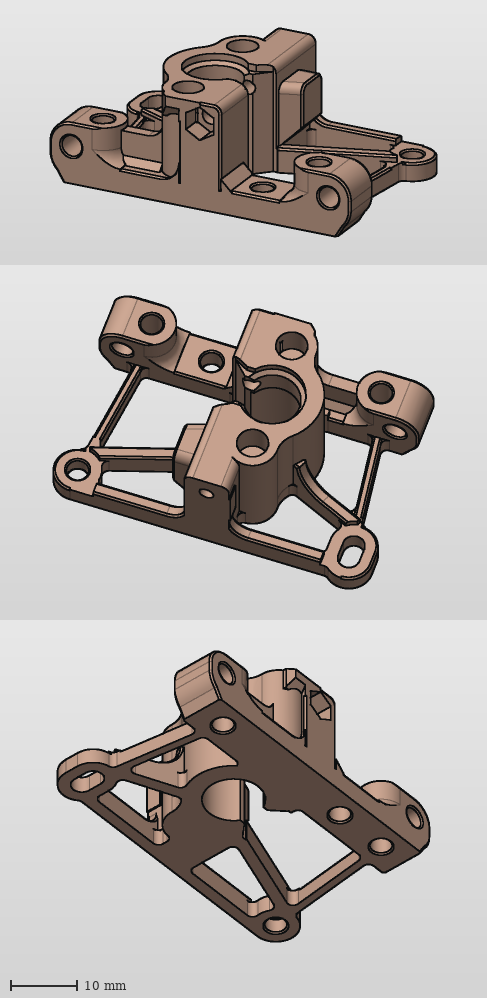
import cadquery as cq
import math

length = 51.25
half_length = length / 2
total_height = 17.5
edge_chamfer = 0.3
overlap = 1.0

rail_depth = 7.5
rail_height = 4.0
lug_height = 10.0
lug_radius = rail_depth / 2
lug_inner_end = 14.65
lug_flare_radius = 2.35
lug_flare_end = 13.55
foot_half_length = 23.35
bevel_x = 24.45
bevel_z = 1.75
bevel_blend_z = 4.5
bevel_mid_x = 25.3
bevel_mid_z = 3.1
bolt_diameter = 3.4
hole_chamfer = 0.25
lug_hole_x = lug_inner_end + lug_radius
rail_hole_x = 8.8
cross_hole_x = 21.9
cross_hole_z = 6.15

ring_radius = 3.7
ring_x = half_length - ring_radius
ring_y = 27.7
ring_height = 2.95
slot_travel = 2.25
rear_face_y = ring_y + ring_radius
strut_width = 1.4
web_width = 2.0
web_height = 4.0
frame_fillet = 1.0
corner_probe = 0.1
inner_corner_share = 0.55
strut_bevel_inset = 3.35
strut_lines = [
    [(-21.35, 24.85), (-19.05, 7.15)],
    [(21.3, 24.85), (19.15, 7.15)],
]
left_web = [(-21.1, 23.25), (-11.05, 18.85)]
left_web_rise = 4.7
right_web = [(21.0, 24.7), (3.35, 18.95)]
rear_bar_x = 18.2
rear_bar_rise = 2.9

tower_half_width = 3.6
tower_corner = 1.35
bore_x = -4.35
bore_y = 13.65
bore_radius = 4.35
bore_mouth_radius = 5.1
bore_relief_radius = 4.8
bore_relief_top = 12.1
bore_mouth_depth = 1.15
bore_cone_depth = 0.5
mouth_growth = 1.1
bore_wall_radius = 7.9
boss_radius = 3.95
boss_spacing = 18.05
boss_y = [bore_y - boss_spacing / 2, bore_y + boss_spacing / 2]
boss_blend = 4.1
blend_zone_x = [-8.7, -7.15]
socket_diameter = 4.8
socket_depth = 5.0
slit_half_height = 2.3
lip_half_width = 0.8
flared_half_height = 4.6
flared_x = 3.15

screw_z = 14.1
screw_diameter = 2.75
screw_tap_diameter = 2.25
nut_flats = 4.7
nut_depth = 3.6

rib_width = 2.0
rib_height = 9.1
rib_rise = 2.55
rib_start_x = -15.35
rib_end_x = -7.7
rib_foot = 1.15

left_corner_radius = 3.2
left_corner_depth = 1.55
right_corner = 1.95
flank_x = -9.85
flank_radius = 1.3
flank_top = 5.05

block_x = 7.05
block_front_y = 19.1
block_front_rise = 1.2
block_back_y = 26.9
block_top = 14.05
block_round = 1.45
block_under_z = 3.8
block_under_rise = 3.5

cap_left_x = -6.85
cap_depth = 2.05
cap_bottom = 15.85
cap_slope_depth = 1.15

pad_front_y = 28.8
pad_bottom = 8.0
pad_top = 14.35
pad_proud = 0.2


def box(x0, x1, y0, y1, z0, z1):
    """Axis-aligned box given by its limits."""
    return cq.Workplane("XY").box(x1 - x0, y1 - y0, z1 - z0, centered=False).translate((x0, y0, z0))


def cylinder(x, y, radius, height, z0=0.0):
    """Upright cylinder standing at z0."""
    return cq.Workplane("XY", origin=(x, y, z0)).circle(radius).extrude(height)


def prism_along_y(points, y0, y1):
    """Prism with an XZ outline, running from y0 to y1."""
    return cq.Workplane("XZ", origin=(0, y0, 0)).polyline(points).close().extrude(y0 - y1)


def bar(start, end, width, height, rise=0.0):
    """Bar between two plan points; with a rise its top sweeps up in an arc to the end point."""
    run = math.dist(start, end)
    angle = math.degrees(math.atan2(end[1] - start[1], end[0] - start[0]))
    profile = cq.Workplane("XZ", origin=(0, width / 2, 0)).moveTo(0, 0).lineTo(run + overlap, 0)
    profile = profile.lineTo(run + overlap, height + rise)
    if rise:
        profile = profile.lineTo(run, height + rise)
        profile = profile.radiusArc((run - rise, height), rise)
    solid = profile.lineTo(0, height).close().extrude(width)
    solid = solid.faces("<Y or >Y").edges("not |Z").edges("not <Z").chamfer(edge_chamfer)
    return solid.rotate((0, 0, 0), (0, 0, 1), angle).translate((start[0], start[1], 0))


def plain_bar(start, end, width, height):
    """Square-edged bar between two plan points."""
    run = math.dist(start, end)
    angle = math.degrees(math.atan2(end[1] - start[1], end[0] - start[0]))
    solid = box(0, run + overlap, -width / 2, width / 2, 0, height)
    return solid.rotate((0, 0, 0), (0, 0, 1), angle).translate((start[0], start[1], 0))


def slit_zone(point):
    """True near the open side of the bore."""
    return 0 < point.x < 2 * tower_half_width and abs(point.y - bore_y) < flared_half_height


def is_inner_corner(solid, edge):
    """True when more than half of the space around an upright edge is material."""
    centre = edge.Center()
    probe = cylinder(centre.x, centre.y, corner_probe, ring_height)
    in_frame = abs(centre.x) > tower_half_width - corner_probe and not slit_zone(centre)
    filled = solid.intersect(probe).val().Volume()
    return in_frame and filled > inner_corner_share * probe.val().Volume()


def lug_flare():
    """Skirt that widens the foot of the right lug in a concave sweep down to the rail."""
    outer = lug_radius + lug_flare_radius
    top = rail_height + lug_flare_radius
    mid = lug_flare_radius * (1 - math.sqrt(0.5))
    section = cq.Workplane("XZ").moveTo(0, 0).lineTo(outer, 0).lineTo(outer, rail_height)
    section = section.threePointArc((lug_radius + mid, rail_height + mid), (lug_radius, top))
    skirt = section.lineTo(0, top).close().revolve(360, (0, 0, 0), (0, 1, 0))
    skirt = skirt.translate((lug_hole_x, lug_radius, 0))
    return skirt.intersect(box(lug_flare_end, half_length, 0, rail_depth, 0, lug_height))


def front_rail():
    """Rail and both lugs, trimmed to the rounded and bevelled front outline."""
    corner_x = half_length - lug_radius
    corner_z = lug_height - lug_radius
    diagonal = lug_radius * math.sqrt(0.5)
    outline = cq.Workplane("XZ").moveTo(0, 0).lineTo(foot_half_length, 0).lineTo(bevel_x, bevel_z)
    outline = outline.threePointArc((bevel_mid_x, bevel_mid_z), (half_length, bevel_blend_z))
    outline = outline.lineTo(half_length, corner_z)
    outline = outline.threePointArc((corner_x + diagonal, corner_z + diagonal), (corner_x, lug_height))
    envelope = outline.lineTo(0, lug_height).close().extrude(-rail_depth)
    envelope = envelope.union(envelope.mirror("YZ"))
    envelope = envelope.faces("<Y or >Y").edges("not <Z").chamfer(edge_chamfer)

    lug = cylinder(lug_hole_x, lug_radius, lug_radius, lug_height)
    lug = lug.union(box(lug_hole_x, half_length, 0, rail_depth, 0, lug_height))
    lug = lug.union(lug_flare())
    rail = box(-half_length, half_length, 0, rail_depth, 0, rail_height)
    rail = rail.edges(">Z and |X").chamfer(edge_chamfer)
    return envelope.intersect(rail.union(lug).union(lug.mirror("YZ")))


def tower_walls(height):
    """Round outer walls around the bore and the two sockets, blended into each other."""
    walls = cylinder(bore_x, bore_y, bore_wall_radius, height)
    for y in boss_y:
        walls = walls.union(cylinder(bore_x, y, boss_radius, height))
    blend_zone = cq.selectors.BoxSelector(
        (blend_zone_x[0], boss_y[0], -0.5), (blend_zone_x[1], boss_y[1], height + 0.5)
    )
    walls = walls.edges("|Z").edges(blend_zone).fillet(boss_blend)
    return walls.cut(box(0, half_length, 0, rear_face_y, 0, height))


def tower():
    """Tower: round walls, and a spine with rounded top corners."""
    spine = box(-tower_half_width, tower_half_width, 0, rear_face_y, 0, total_height)
    spine = spine.edges(">Z and |Y").fillet(tower_corner)
    front_top = cq.selectors.BoxSelector(
        (-half_length, -0.5, total_height - tower_corner), (half_length, 0.5, total_height + 0.5)
    )
    spine = spine.edges("not |Y").edges(front_top).chamfer(edge_chamfer)
    return tower_walls(total_height).union(spine)


def slot_ring(height, z0=0.0):
    """Solid outline of the slotted ring."""
    ring = cq.Workplane("XY", origin=(-ring_x, ring_y, z0))
    return ring.slot2D(2 * ring_radius + slot_travel, 2 * ring_radius, 90).extrude(height)


def plate_bevels():
    """Material removed along the top edges of the struts and the outer halves of the rings."""
    outer_left = box(-half_length, -ring_x, 0, length, 0, ring_height)
    left = slot_ring(ring_height)
    left = left.cut(left.faces(">Z").chamfer(edge_chamfer)).intersect(outer_left)
    right = cylinder(ring_x, ring_y, ring_radius, ring_height)
    right = right.cut(right.faces(">Z").chamfer(edge_chamfer)).intersect(outer_left.mirror("YZ"))
    bevels = left.union(right)
    for start, end in strut_lines:
        inset = strut_bevel_inset / math.dist(start, end)
        bevel_start = (start[0] + inset * (end[0] - start[0]), start[1] + inset * (end[1] - start[1]))
        square = plain_bar(bevel_start, end, strut_width, ring_height)
        bevels = bevels.union(square.cut(bar(bevel_start, end, strut_width, ring_height)))
    return bevels


def rear_plate():
    """Flat frame layer: two rings, their struts and the rear bars, with filleted corners."""
    plate = tower_walls(ring_height)
    plate = plate.union(box(-tower_half_width, tower_half_width, 0, rear_face_y, 0, ring_height))
    plate = plate.union(box(-half_length, half_length, 0, rail_depth, 0, ring_height))
    plate = plate.union(cylinder(ring_x, ring_y, ring_radius, ring_height))
    plate = plate.union(slot_ring(ring_height))
    plate = plate.union(box(-ring_x, ring_x, rear_face_y - web_width, rear_face_y, 0, ring_height))
    for start, end in strut_lines:
        plate = plate.union(plain_bar(start, end, strut_width, ring_height))
    plate = plate.union(plain_bar(*left_web, web_width, ring_height))
    plate = plate.union(plain_bar(*right_web, web_width, ring_height))
    corners = [edge for edge in plate.edges("|Z").vals() if is_inner_corner(plate, edge)]
    plate = plate.newObject(corners).fillet(frame_fillet)
    plate = plate.cut(box(-half_length, half_length, 0, rail_depth, 0, ring_height))
    return plate.cut(plate_bevels())


def ring_space():
    """Space above the two rings."""
    space = cylinder(ring_x, ring_y, ring_radius, web_height, ring_height)
    return space.union(slot_ring(web_height, ring_height))


def raised_bars():
    """Rear bars and webs, taller than the plate; most sweep up where they reach the tower."""
    bar_y = rear_face_y - web_width / 2
    bars = bar(*left_web, web_width, web_height, left_web_rise)
    bars = bars.union(bar(*right_web, web_width, web_height))
    for side in (-1, 1):
        start = (side * rear_bar_x, bar_y)
        end = (side * tower_half_width, bar_y)
        bars = bars.union(bar(start, end, web_width, web_height, rear_bar_rise))
    return bars.cut(ring_space())


def rib():
    """Rib from the left lug to the tower, swept up at the tower and sloped at its foot."""
    half_width = rib_width / 2
    profile = cq.Workplane("XZ", origin=(0, lug_radius + half_width, 0))
    profile = profile.moveTo(rib_start_x, 0).lineTo(rib_end_x, 0)
    profile = profile.lineTo(rib_end_x, rib_height + rib_rise)
    profile = profile.radiusArc((rib_end_x - rib_rise, rib_height), rib_rise)
    wall = profile.lineTo(rib_start_x, rib_height).close().extrude(rib_width)
    foot = cq.Workplane("YZ", origin=(rib_start_x, lug_radius, rail_height))
    foot = foot.polyline([
        (-half_width - rib_foot, 0),
        (half_width + rib_foot, 0),
        (half_width, rib_foot),
        (-half_width, rib_foot),
    ])
    return wall.union(foot.close().extrude(rib_end_x - rib_start_x))


def corner_fills():
    """Rounded fill left of the tower front, sloped fill to its right."""
    wall_x = -tower_half_width
    radius = left_corner_radius
    base_z = rail_height - edge_chamfer
    left = cq.Workplane("XZ").moveTo(wall_x, base_z).lineTo(wall_x, base_z + radius)
    left = left.radiusArc((wall_x - radius, base_z), radius).close().extrude(-left_corner_depth)
    right = prism_along_y([
        (tower_half_width, base_z),
        (tower_half_width + right_corner, base_z),
        (tower_half_width, base_z + right_corner),
    ], 0, rail_depth)
    return left.union(right)


def flank_fill():
    """Concave fill between the left wall of the tower and the back of the rail."""
    centre_x = flank_x - flank_radius
    centre_y = rail_depth + flank_radius
    corner = box(centre_x, bore_x, rail_depth - overlap, centre_y, 0, flank_top)
    return corner.cut(cylinder(centre_x, centre_y, flank_radius, flank_top))


def side_block():
    """Block on the right of the tower, round at its top edges and sloped underneath."""
    inner_x = tower_half_width - overlap
    plan = cq.Workplane("XY").polyline([
        (inner_x, block_front_y),
        (tower_half_width, block_front_y),
        (block_x, block_front_y + block_front_rise),
        (block_x, block_back_y),
        (inner_x, block_back_y),
    ])
    block = plan.close().extrude(block_top)
    block = block.faces(">Z").edges("not(<X or >X)").fillet(block_round)
    block = block.faces(">X").edges().chamfer(edge_chamfer)
    below = prism_along_y([
        (tower_half_width, 0),
        (tower_half_width, block_under_z),
        (block_x, block_under_z + block_under_rise),
        (block_x, 0),
    ], 0, rear_face_y)
    return block.cut(below)


def front_cap():
    """Top corner in front of the left wall, with a sloped underside."""
    cap = box(cap_left_x, 0, 0, cap_depth, cap_bottom - cap_depth, total_height)
    cap = cap.edges("|Z and <X and <Y").chamfer(cap_depth - overlap)
    slope = cq.Workplane("YZ", origin=(cap_left_x, 0, 0)).polyline([
        (0, cap_bottom),
        (cap_slope_depth, cap_bottom - cap_depth),
        (0, cap_bottom - cap_depth),
    ])
    return cap.cut(slope.close().extrude(-cap_left_x - tower_half_width))


def rear_pad():
    """Thin pad on the left face near the rear."""
    return box(-tower_half_width - pad_proud, 0, pad_front_y, rear_face_y, pad_bottom, pad_top)


def bore_space(radius, growth, z0, height):
    """Bore with its flared slit; growth widens the slit on each side."""
    half = slit_half_height + growth
    end_x = tower_half_width + edge_chamfer
    flare = min(half + flared_x - lip_half_width, flared_half_height)
    slit = cq.Workplane("XY", origin=(0, bore_y, z0)).polyline([
        (bore_x, -half),
        (lip_half_width, -half),
        (flared_x, -flare),
        (end_x, -flare),
        (end_x, flare),
        (flared_x, flare),
        (lip_half_width, half),
        (bore_x, half),
    ])
    return cylinder(bore_x, bore_y, radius, height, z0).union(slit.close().extrude(height))


def bore():
    """Clamp bore, open to the right: a wide mouth, a cone, the clamping bore and a relief below."""
    mouth_z = total_height - bore_mouth_depth
    space = bore_space(bore_radius, 0, 0, total_height)
    space = space.union(cylinder(bore_x, bore_y, bore_relief_radius, bore_relief_top))
    space = space.union(bore_space(bore_mouth_radius, mouth_growth, mouth_z, bore_mouth_depth))
    cone = cq.Solid.makeCone(bore_radius, bore_mouth_radius, bore_cone_depth)
    return space.union(cq.Workplane(cone.translate(cq.Vector(bore_x, bore_y, mouth_z - bore_cone_depth))))


def countersunk_hole(depth):
    """Upright bolt hole at the origin with a chamfer at both mouths."""
    radius = bolt_diameter / 2
    hole = cylinder(0, 0, radius, depth)
    mouth = cq.Solid.makeCone(radius, radius + hole_chamfer, hole_chamfer)
    hole = hole.union(cq.Workplane(mouth.translate(cq.Vector(0, 0, depth - hole_chamfer))))
    return hole.union(cq.Workplane(cq.Solid.makeCone(radius + hole_chamfer, radius, hole_chamfer)))


def bolt_holes():
    """Holes through the lugs, the rail and the right ring, and the slot in the left ring."""
    upright = countersunk_hole(lug_height)
    level = countersunk_hole(rail_depth).rotate((0, 0, 0), (1, 0, 0), -90)
    holes = countersunk_hole(rail_height).translate((rail_hole_x, lug_radius, 0))
    for side in (-1, 1):
        holes = holes.union(upright.translate((side * lug_hole_x, lug_radius, 0)))
        holes = holes.union(level.translate((side * cross_hole_x, 0, cross_hole_z)))
    holes = holes.union(countersunk_hole(ring_height).translate((ring_x, ring_y, 0)))
    slot = box(-bolt_diameter / 2, bolt_diameter / 2, 0, slot_travel, 0, ring_height)
    slot = slot.union(cylinder(0, 0, bolt_diameter / 2, ring_height))
    slot = slot.union(cylinder(0, slot_travel, bolt_diameter / 2, ring_height))
    return holes.union(slot.translate((-ring_x, ring_y - slot_travel / 2, 0)))


def clamp_screw():
    """Screw hole across the slit: nut pocket in front, clearance bore, tapped bore behind."""
    front = cq.Workplane("XZ", origin=(0, 0, screw_z))
    corner_diameter = nut_flats / math.cos(math.radians(30))
    nut = front.polygon(6, corner_diameter).extrude(-nut_depth)
    nut = nut.rotate((0, 0, screw_z), (0, 1, screw_z), 90)
    clearance = front.circle(screw_diameter / 2).extrude(-bore_y)
    tapped = front.circle(screw_tap_diameter / 2).extrude(-rear_face_y)
    return nut.union(clearance).union(tapped)


def sockets():
    """Blind round sockets in the top, one on each side of the bore."""
    floor_z = total_height - socket_depth
    pair = cylinder(bore_x, boss_y[0], socket_diameter / 2, socket_depth, floor_z)
    return pair.union(cylinder(bore_x, boss_y[1], socket_diameter / 2, socket_depth, floor_z))


body = front_rail().union(rear_plate()).union(raised_bars()).union(tower())
body = body.union(rib()).union(corner_fills()).union(flank_fill())
body = body.union(side_block()).union(front_cap()).union(rear_pad())
body = body.cut(bore()).cut(bolt_holes()).cut(clamp_screw())
result = body.cut(sockets())